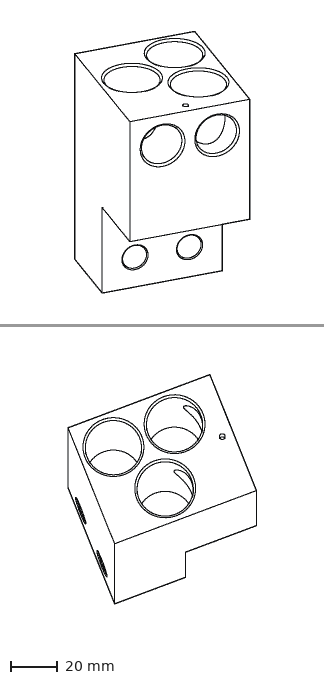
import cadquery as cq

length = 65.0
width = 55.0
height = 100.0
tongue_thickness = length / 2
step_height = 41.6

bore_diameter = 24.0
bore_rim_chamfer = 1.0
bore_depth = 50.0
front_row_y = 15.0
back_row_y = 40.0
left_bore_x = 15.0
right_bore_x = 43.0
middle_bore_x = (left_bore_x + right_bore_x) / 2

screw_diameter = 18.5
screw_height = 85.5
screw_rim_chamfer = 1.0

mount_diameter = 11.0
mount_height = 14.5
mount_rim_chamfer = 0.5

pin_diameter = 2.5
pin_depth = 5.0
pin_x = 60.0

toward_plus_x = cq.Vector(1, 0, 0)
toward_minus_x = cq.Vector(-1, 0, 0)
downward = cq.Vector(0, 0, -1)


def make_body():
    """Block with an L-shaped profile, lowest corner at the origin."""
    tongue = cq.Workplane("XY").box(tongue_thickness, width, height, centered=False)
    head = cq.Workplane("XY").box(length, width, height - step_height, centered=False)
    return tongue.union(head.translate((0, 0, step_height)))


def drill(body, mouth, direction, diameter, depth):
    """Cut a flat-bottomed round hole from its mouth along a direction."""
    cutter = cq.Solid.makeCylinder(diameter / 2, depth, cq.Vector(*mouth), direction)
    return body.cut(cq.Workplane(cutter))


def chamfer_mouth(body, mouth, direction, diameter, chamfer):
    """Cut a 45 degree chamfer around the mouth of a hole."""
    hole_radius = diameter / 2
    cutter = cq.Solid.makeCone(hole_radius + chamfer, hole_radius, chamfer, cq.Vector(*mouth), direction)
    return body.cut(cq.Workplane(cutter))


result = make_body()

bore_centers = [
    (left_bore_x, back_row_y),
    (right_bore_x, back_row_y),
    (middle_bore_x, front_row_y),
]
for x, y in bore_centers:
    mouth = (x, y, height)
    result = drill(result, mouth, downward, bore_diameter, bore_depth)
    result = chamfer_mouth(result, mouth, downward, bore_diameter, bore_rim_chamfer)

for x, y in [(right_bore_x, back_row_y), (middle_bore_x, front_row_y)]:
    mouth = (length, y, screw_height)
    result = drill(result, mouth, toward_minus_x, screw_diameter, length - x)
    result = chamfer_mouth(result, mouth, toward_minus_x, screw_diameter, screw_rim_chamfer)

for y in (front_row_y, back_row_y):
    outer_mouth = (0, y, mount_height)
    inner_mouth = (tongue_thickness, y, mount_height)
    result = drill(result, outer_mouth, toward_plus_x, mount_diameter, tongue_thickness)
    result = chamfer_mouth(result, outer_mouth, toward_plus_x, mount_diameter, mount_rim_chamfer)
    result = chamfer_mouth(result, inner_mouth, toward_minus_x, mount_diameter, mount_rim_chamfer)

result = drill(result, (pin_x, width / 2, height), downward, pin_diameter, pin_depth)